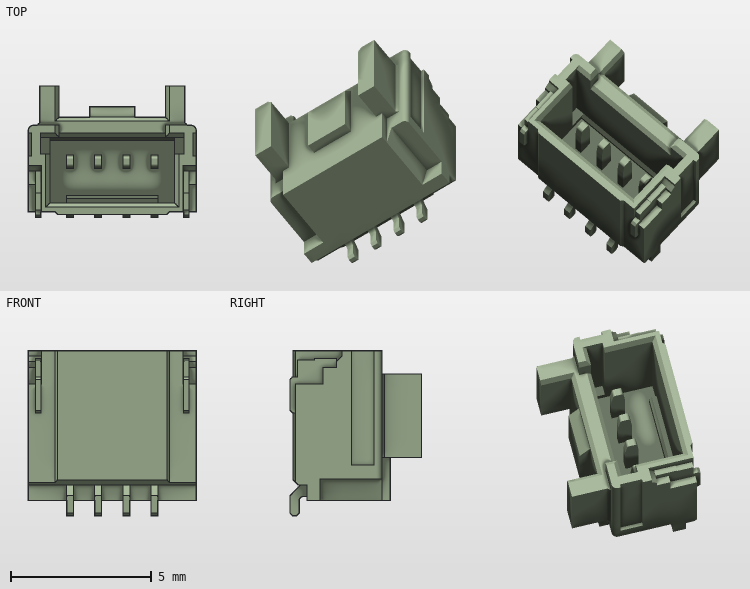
import cadquery as cq
import math


WIDTH = 6.0
HALF_WIDTH = WIDTH / 2
TOP_Z = 5.9
BASE_Z = 0.54
FRONT_BOTTOM_Z = 1.09
WING_FRONT_Y = 0.2
BACK_Y = 3.295
BACK_CORNER_RADIUS = 0.19
FOOT_FRONT_Y = 0.6
FOOT_BACK_Y = 1.08

PANEL_PROJECTION = 0.095
PANEL_FRONT_Y = WING_FRONT_Y - PANEL_PROJECTION
PANEL_HALF_WIDTH = 2.045
BOTTOM_BEVEL = 0.19

BASE_RECESS_TOP_Z = 1.31
BASE_RECESS_INSET = 0.84
BASE_RECESS_LEAN = 14.5

WALL_TOP_Z = 5.065
WALL_BACK_Y = 3.58
WALL_FRONT_Y = 2.86
NOTCH_HALF_WIDTH = 1.895
RIM_CHAMFER = 0.145
FIN_BACK_Y = 4.7
FIN_HALF_SPAN = 2.59
FIN_BOTTOM_Z = 2.075
FIN_ROOT_CHAMFER = 0.09

RAMP_HALF_WIDTH = 0.805
RAMP_BACK_Y = 3.96
RAMP_TOP_Z = 4.68
RAMP_ANGLE = 50.0

CAVITY_HALF_WIDTH = 2.225
CAVITY_FRONT_Y = 0.515
CAVITY_BACK_Y = 2.74
FLOOR_Z = 1.56
MOUTH_CHAMFER = 0.15
KEYWAY_HALF_WIDTH = 2.57
KEYWAY_FRONT_Y = 2.27
KEYWAY_FLOOR_Z = 1.82
RIB_HALF_WIDTH = 1.64
RIB_BACK_Y = 0.785
RIB_HEIGHT = 0.48
RIB_CHAMFER = 0.1

SIDE_RECESS_DEPTH = 0.12
SIDE_RECESS_FRONT_Y = 2.19
SIDE_RECESS_BACK_Y = 3.005
SIDE_RECESS_BOTTOM_Z = 1.82

SHOULDER_INNER_X = 2.52
SHOULDER_BACK_Y = 1.86
SHOULDER_BEVEL = 0.2
SHOULDER_BEVEL_TOP_Z = 5.705
STEP_BACK_Y = SHOULDER_BACK_Y - SHOULDER_BEVEL
STEP_FRONT_Y = 1.175
STEP_Z = 5.3
LEDGE_Z = 4.7
TAB_INNER_X = 2.545
TAB_THICKNESS = 0.205
TAB_TOP_Z = 5.61
TAB_RELIEF_Y = 0.87
TAB_RELIEF_Z = 5.57
TAB_NECK_Y = 0.265
TAB_HOOK_TOP_Z = 4.96
TAB_HOOK_BOTTOM_Z = 3.665
TAB_HOOK_CHAMFER = 0.095

CONTACT_COUNT = 4
CONTACT_PITCH = 1.0
CONTACT_WIDTH = 0.25
PIN_TOP_Z = 3.6
PIN_FRONT_Y = 1.745
PIN_BACK_Y = 2.23
PIN_TAPER_INSET = 0.07
PIN_TAPER_HEIGHT = 0.54
PIN_TIP_RADIUS = 0.095
LEAD_THICKNESS = 0.335
LEAD_SLOPE_Y = 0.365
LEAD_SLOPE_END_Z = 0.72
LEAD_TIP_CHAMFER = 0.095
LEAD_UNDERSIDE_Z = 0.685
LEAD_BEND_RADIUS = 0.14

ABOVE = TOP_Z + 0.06


def block(x_min, x_max, y_min, y_max, z_min, z_max):
    size = (x_max - x_min, y_max - y_min, z_max - z_min)
    return cq.Workplane("XY").box(*size, centered=False).translate((x_min, y_min, z_min))


def centred_block(half_width, y_min, y_max, z_min, z_max):
    return block(-half_width, half_width, y_min, y_max, z_min, z_max)


def side_profile(points, x_min, x_max):
    """Extrude a closed (y, z) outline from x_min to x_max."""
    return cq.Workplane("YZ").polyline(points).close().extrude(x_max - x_min).translate((x_min, 0, 0))


def both_sides(solid):
    return solid.union(solid.mirror("YZ"))


def make_shell():
    shell = centred_block(HALF_WIDTH, WING_FRONT_Y, BACK_Y, BASE_Z, TOP_Z)
    shell = shell.edges("|Z and >Y").fillet(BACK_CORNER_RADIUS)
    panel = (
        cq.Workplane("XY")
        .polyline([
            (-PANEL_HALF_WIDTH, WING_FRONT_Y),
            (-PANEL_HALF_WIDTH + PANEL_PROJECTION, PANEL_FRONT_Y),
            (PANEL_HALF_WIDTH - PANEL_PROJECTION, PANEL_FRONT_Y),
            (PANEL_HALF_WIDTH, WING_FRONT_Y),
            (PANEL_HALF_WIDTH, CAVITY_FRONT_Y),
            (-PANEL_HALF_WIDTH, CAVITY_FRONT_Y),
        ])
        .close()
        .extrude(TOP_Z - BASE_Z)
        .translate((0, 0, BASE_Z))
    )
    lead_clearance = side_profile(
        [
            (PANEL_FRONT_Y, BASE_Z),
            (FOOT_FRONT_Y, BASE_Z),
            (FOOT_FRONT_Y, FRONT_BOTTOM_Z),
            (PANEL_FRONT_Y + BOTTOM_BEVEL, FRONT_BOTTOM_Z),
            (PANEL_FRONT_Y, FRONT_BOTTOM_Z + BOTTOM_BEVEL),
        ],
        -HALF_WIDTH,
        HALF_WIDTH,
    )
    return shell.union(panel).cut(lead_clearance)


def make_base_recesses():
    """Recesses behind the foot whose inner walls lean inwards towards the base."""
    lean = (BASE_RECESS_TOP_Z - BASE_Z) * math.tan(math.radians(BASE_RECESS_LEAN))
    base_x = HALF_WIDTH - BASE_RECESS_INSET
    recess = (
        cq.Workplane("XZ")
        .polyline([
            (HALF_WIDTH, BASE_RECESS_TOP_Z),
            (base_x + lean, BASE_RECESS_TOP_Z),
            (base_x, BASE_Z),
            (HALF_WIDTH, BASE_Z),
        ])
        .close()
        .extrude(FOOT_BACK_Y - BACK_Y)
        .translate((0, FOOT_BACK_Y, 0))
    )
    return both_sides(recess)


def make_back_wall():
    """Thicker back wall with a fin projecting from each end."""
    wall = centred_block(HALF_WIDTH - BASE_RECESS_INSET, WALL_FRONT_Y, WALL_BACK_Y, BASE_Z, WALL_TOP_Z)
    root_y = BACK_Y + FIN_ROOT_CHAMFER
    fin = (
        cq.Workplane("XY")
        .polyline([
            (NOTCH_HALF_WIDTH, BACK_Y),
            (FIN_HALF_SPAN + FIN_ROOT_CHAMFER, BACK_Y),
            (FIN_HALF_SPAN, root_y),
            (FIN_HALF_SPAN, FIN_BACK_Y),
            (NOTCH_HALF_WIDTH, FIN_BACK_Y),
        ])
        .close()
        .extrude(WALL_TOP_Z - FIN_BOTTOM_Z)
        .translate((0, 0, FIN_BOTTOM_Z))
    )
    return wall.union(both_sides(fin))


def make_ramp():
    """Latch ramp on the back wall, between the fins."""
    drop = (RAMP_BACK_Y - WALL_BACK_Y) * math.tan(math.radians(RAMP_ANGLE))
    outline = [
        (WALL_BACK_Y, RAMP_TOP_Z),
        (RAMP_BACK_Y, RAMP_TOP_Z - drop),
        (RAMP_BACK_Y, FIN_BOTTOM_Z),
        (WALL_BACK_Y, FIN_BOTTOM_Z),
    ]
    return side_profile(outline, -RAMP_HALF_WIDTH, RAMP_HALF_WIDTH)


def rim_cutter(half_width, y_min, y_max, rim_z, chamfer):
    """Frustum that chamfers the front and side rims of a rectangular opening at 45 degrees."""
    return (
        cq.Workplane("XY", origin=(0, (y_min + y_max) / 2, rim_z - chamfer))
        .rect(2 * half_width, y_max - y_min)
        .workplane(offset=chamfer)
        .center(0, -chamfer / 2)
        .rect(2 * (half_width + chamfer), y_max - y_min + chamfer)
        .loft(ruled=True)
    )


def cut_cavity(body):
    """Sink the mating cavity with its rear keyways, then add the floor bevel and front rib."""
    body = body.cut(centred_block(CAVITY_HALF_WIDTH, CAVITY_FRONT_Y, WALL_FRONT_Y, FLOOR_Z, ABOVE))
    body = body.cut(centred_block(KEYWAY_HALF_WIDTH, KEYWAY_FRONT_Y, WALL_FRONT_Y, KEYWAY_FLOOR_Z, ABOVE))
    body = body.cut(rim_cutter(CAVITY_HALF_WIDTH, CAVITY_FRONT_Y, KEYWAY_FRONT_Y, TOP_Z, MOUTH_CHAMFER))
    ledge = WALL_FRONT_Y - CAVITY_BACK_Y
    floor_bevel = side_profile(
        [
            (CAVITY_BACK_Y, FLOOR_Z),
            (WALL_FRONT_Y, FLOOR_Z),
            (WALL_FRONT_Y, KEYWAY_FLOOR_Z),
            (CAVITY_BACK_Y, KEYWAY_FLOOR_Z - ledge),
        ],
        -CAVITY_HALF_WIDTH,
        CAVITY_HALF_WIDTH,
    )
    rib = centred_block(RIB_HALF_WIDTH, CAVITY_FRONT_Y, RIB_BACK_Y, FLOOR_Z, FLOOR_Z + RIB_HEIGHT)
    rib = rib.edges(">Y and >Z").chamfer(RIB_CHAMFER)
    return body.union(floor_bevel).union(rib)


def wall_front_bevel(half_length, rim_z):
    """Prism along X that bevels the top edge of the back wall towards the cavity."""
    outline = [
        (WALL_FRONT_Y, rim_z),
        (WALL_FRONT_Y + RIM_CHAMFER, rim_z),
        (WALL_FRONT_Y, rim_z - RIM_CHAMFER),
    ]
    return side_profile(outline, -half_length, half_length)


def make_pillar_bevels():
    """Prisms along Y that bevel the top inner edges of the pillars beside the notch."""
    bevel = (
        cq.Workplane("XZ")
        .polyline([
            (NOTCH_HALF_WIDTH, TOP_Z),
            (NOTCH_HALF_WIDTH + RIM_CHAMFER, TOP_Z),
            (NOTCH_HALF_WIDTH, TOP_Z - RIM_CHAMFER),
        ])
        .close()
        .extrude(WALL_FRONT_Y - BACK_Y)
        .translate((0, WALL_FRONT_Y, 0))
    )
    return both_sides(bevel)


def cut_notch(body):
    """Open the back between the pillars down to the wall top, and bevel the rims."""
    body = body.cut(centred_block(NOTCH_HALF_WIDTH, WALL_FRONT_Y, BACK_Y, WALL_TOP_Z, ABOVE))
    body = body.cut(make_pillar_bevels())
    body = body.cut(wall_front_bevel(KEYWAY_HALF_WIDTH, TOP_Z))
    body = body.cut(wall_front_bevel(NOTCH_HALF_WIDTH, WALL_TOP_Z))
    return body.cut(rim_cutter(NOTCH_HALF_WIDTH, WALL_BACK_Y, FIN_BACK_Y, WALL_TOP_Z, RIM_CHAMFER))


def make_side_recesses():
    recess = block(
        HALF_WIDTH - SIDE_RECESS_DEPTH, HALF_WIDTH,
        SIDE_RECESS_FRONT_Y, SIDE_RECESS_BACK_Y, SIDE_RECESS_BOTTOM_Z, TOP_Z)
    return both_sides(recess)


def make_shoulder_cuts():
    cut = side_profile(
        [
            (SHOULDER_BACK_Y, TOP_Z),
            (SHOULDER_BACK_Y, SHOULDER_BEVEL_TOP_Z),
            (STEP_BACK_Y, SHOULDER_BEVEL_TOP_Z - SHOULDER_BEVEL),
            (STEP_BACK_Y, STEP_Z),
            (STEP_FRONT_Y, STEP_Z),
            (STEP_FRONT_Y, LEDGE_Z),
            (0, LEDGE_Z),
            (0, TOP_Z),
        ],
        SHOULDER_INNER_X,
        HALF_WIDTH,
    )
    return both_sides(cut)


def make_tabs():
    """Metal tabs standing on the shoulders and hooking down over the front face."""
    tab = side_profile(
        [
            (STEP_BACK_Y, STEP_Z),
            (STEP_BACK_Y, TAB_TOP_Z),
            (TAB_RELIEF_Y, TAB_TOP_Z),
            (TAB_RELIEF_Y, TAB_RELIEF_Z),
            (TAB_NECK_Y, TAB_RELIEF_Z),
            (TAB_NECK_Y, TAB_HOOK_TOP_Z),
            (TAB_HOOK_CHAMFER, TAB_HOOK_TOP_Z),
            (0, TAB_HOOK_TOP_Z - TAB_HOOK_CHAMFER),
            (0, TAB_HOOK_BOTTOM_Z + TAB_HOOK_CHAMFER),
            (TAB_HOOK_CHAMFER, TAB_HOOK_BOTTOM_Z),
            (WING_FRONT_Y, TAB_HOOK_BOTTOM_Z),
            (WING_FRONT_Y, LEDGE_Z),
            (STEP_FRONT_Y, LEDGE_Z),
            (STEP_FRONT_Y, STEP_Z),
        ],
        TAB_INNER_X,
        TAB_INNER_X + TAB_THICKNESS,
    )
    return both_sides(tab)


def make_lead():
    """Solder lead: leaves the foot forwards, slopes down and ends vertically."""
    diagonal = math.sqrt(0.5)
    arc_middle = (
        LEAD_THICKNESS + LEAD_BEND_RADIUS * (1 - diagonal),
        LEAD_UNDERSIDE_Z - LEAD_BEND_RADIUS * (1 - diagonal),
    )
    lead = (
        cq.Workplane("YZ")
        .moveTo(FOOT_FRONT_Y, FRONT_BOTTOM_Z)
        .lineTo(LEAD_SLOPE_Y, FRONT_BOTTOM_Z)
        .lineTo(0, LEAD_SLOPE_END_Z)
        .lineTo(0, LEAD_TIP_CHAMFER)
        .lineTo(LEAD_TIP_CHAMFER, 0)
        .lineTo(LEAD_THICKNESS - LEAD_TIP_CHAMFER, 0)
        .lineTo(LEAD_THICKNESS, LEAD_TIP_CHAMFER)
        .lineTo(LEAD_THICKNESS, LEAD_UNDERSIDE_Z - LEAD_BEND_RADIUS)
        .threePointArc(arc_middle, (LEAD_THICKNESS + LEAD_BEND_RADIUS, LEAD_UNDERSIDE_Z))
        .lineTo(FOOT_FRONT_Y, LEAD_UNDERSIDE_Z)
        .close()
        .extrude(CONTACT_WIDTH)
    )
    return lead.translate((-CONTACT_WIDTH / 2, 0, 0))


def make_pin():
    """Upright pin with a slightly tapered upper end and a rounded tip."""
    taper_start_z = PIN_TOP_Z - PIN_TAPER_HEIGHT
    outline = [
        (PIN_FRONT_Y, FLOOR_Z),
        (PIN_FRONT_Y, taper_start_z),
        (PIN_FRONT_Y + PIN_TAPER_INSET, PIN_TOP_Z),
        (PIN_BACK_Y - PIN_TAPER_INSET, PIN_TOP_Z),
        (PIN_BACK_Y, taper_start_z),
        (PIN_BACK_Y, FLOOR_Z),
    ]
    pin = side_profile(outline, -CONTACT_WIDTH / 2, CONTACT_WIDTH / 2)
    return pin.faces(">Z").edges("|X").fillet(PIN_TIP_RADIUS)


housing = make_shell().cut(make_base_recesses()).union(make_back_wall()).union(make_ramp())
housing = cut_notch(cut_cavity(housing))
housing = housing.cut(make_side_recesses()).cut(make_shoulder_cuts())

result = housing.union(make_tabs())
contact = make_lead().union(make_pin())
for index in range(CONTACT_COUNT):
    contact_x = (index - (CONTACT_COUNT - 1) / 2) * CONTACT_PITCH
    result = result.union(contact.translate((contact_x, 0, 0)))